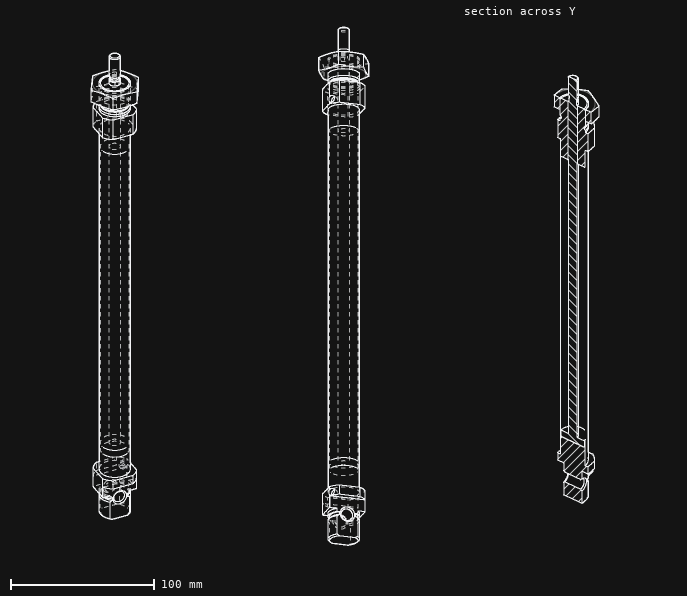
import cadquery as cq
import math

total_length = 382.0

tube_diameter = 21.8
bore_diameter = 20.2
bore_bottom_z = 52.5
bore_top_z = 306.0

cap_across_flats = 26.5
cap_diameter = 30.5
front_cap_bottom_z = 321.5
front_cap_top_z = 338.0
rear_cap_bottom_z = 20.2
rear_cap_top_z = 36.0

port_diameter = 5.0
port_depth = 4.0
port_angle = 127
front_port_z = 325.0
rear_port_z = 31.7

thread_diameter = 22.0
undercut_diameter = 20.0
thread_chamfer = 1.0
neck_top_z = 359.0
neck_undercut_top_z = 342.0
neck_undercut_bottom_z = 341.0
rear_undercut_top_z = 18.0
rear_undercut_bottom_z = 16.0
rear_chamfer = 1.0

tongue_thickness = 16.0
tongue_top_z = 29.0
pivot_diameter = 8.5
pivot_chamfer = 1.0
pivot_z = 16.8

rod_diameter = 8.0
rod_neck_diameter = 6.5
rod_neck_taper_top_z = 365.5
rod_neck_top_z = 363.5
rod_neck_bottom_z = 362.0
rod_chamfer = 0.8
wrench_across_flats = 7.3
piston_length = 5.7

nut_across_flats = 32.0
nut_height = 11.0
nut_chamfer_diameter = 31.5
nut_chamfer_angle = 15
nut_turn = 30

thread_radius = thread_diameter / 2
undercut_radius = undercut_diameter / 2
undercut_step = thread_radius - undercut_radius
rod_radius = rod_diameter / 2
rod_neck_radius = rod_neck_diameter / 2
nut_across_corners = nut_across_flats / math.cos(math.pi / 6)


def cylinder(diameter, bottom_z, top_z):
    """Upright cylinder on the part axis between two heights."""
    return cq.Workplane("XY", origin=(0, 0, bottom_z)).circle(diameter / 2).extrude(top_z - bottom_z)


def turned(profile):
    """Solid turned about the Z axis from (radius, height) points; the axis closes it."""
    return cq.Workplane("XZ").polyline(profile).close().revolve(360, (0, 0), (0, 1))


def cap(bottom_z, top_z):
    """Round end cap with four flats."""
    height = top_z - bottom_z
    square = (
        cq.Workplane("XY", origin=(0, 0, bottom_z))
        .rect(cap_across_flats, cap_across_flats)
        .extrude(height)
    )
    return cylinder(cap_diameter, bottom_z, top_z).intersect(square)


def front_neck():
    """Threaded neck with an undercut next to the front cap."""
    return turned([
        (0, front_cap_top_z),
        (thread_radius, front_cap_top_z),
        (thread_radius, neck_undercut_bottom_z - undercut_step),
        (undercut_radius, neck_undercut_bottom_z),
        (undercut_radius, neck_undercut_top_z),
        (thread_radius, neck_undercut_top_z + undercut_step),
        (thread_radius, neck_top_z - thread_chamfer),
        (thread_radius - thread_chamfer, neck_top_z),
        (0, neck_top_z),
    ])


def rear_stem():
    """Threaded stem below the rear cap, with an undercut and an end chamfer."""
    return turned([
        (0, 0),
        (thread_radius - rear_chamfer, 0),
        (thread_radius, rear_chamfer),
        (thread_radius, rear_undercut_bottom_z - undercut_step),
        (undercut_radius, rear_undercut_bottom_z),
        (undercut_radius, rear_undercut_top_z),
        (thread_radius, rear_undercut_top_z),
        (thread_radius, rear_cap_bottom_z),
        (0, rear_cap_bottom_z),
    ])


def tongue_cuts():
    """Two blocks that leave a flat tongue below tongue_top_z."""
    width = cap_diameter
    blocks = cq.Workplane("XY")
    for side in (-1, 1):
        x = side * (tongue_thickness + width) / 2
        blocks = blocks.add(
            cq.Workplane("XY").center(x, 0).rect(width, 2 * width).extrude(tongue_top_z)
        )
    return blocks.combine()


def pivot_hole():
    """Cross hole along X, chamfered on both tongue faces."""
    half = tongue_thickness / 2
    radius = pivot_diameter / 2
    return (
        cq.Workplane("XY")
        .polyline([
            (-half, 0),
            (-half, radius + pivot_chamfer),
            (-half + pivot_chamfer, radius),
            (half - pivot_chamfer, radius),
            (half, radius + pivot_chamfer),
            (half, 0),
        ])
        .close()
        .revolve(360, (0, 0), (1, 0))
        .translate((0, 0, pivot_z))
    )


def port(z):
    """Blind radial air port."""
    angle = math.radians(port_angle)
    direction = cq.Vector(math.cos(angle), math.sin(angle), 0)
    start = direction * (cap_diameter / 2 - port_depth)
    plane = cq.Plane(origin=(start.x, start.y, z), xDir=(0, 0, 1), normal=direction.toTuple())
    return cq.Workplane(plane).circle(port_diameter / 2).extrude(2 * port_depth)


def make_housing():
    """Tube with both end caps, hollow for the piston and open at the front for the rod."""
    body = cylinder(tube_diameter, rear_cap_top_z, front_cap_bottom_z)
    body = body.union(cap(front_cap_bottom_z, front_cap_top_z))
    body = body.union(front_neck())
    body = body.union(cap(rear_cap_bottom_z, rear_cap_top_z))
    body = body.union(rear_stem())
    body = body.cut(tongue_cuts())
    body = body.cut(pivot_hole())
    body = body.cut(port(front_port_z))
    body = body.cut(port(rear_port_z))
    body = body.cut(cylinder(bore_diameter, bore_bottom_z, bore_top_z))
    return body.cut(cylinder(rod_diameter, bore_top_z, neck_top_z))


def make_rod():
    """Rod with its piston, a neck below the end thread and two wrench flats under the neck."""
    rod = turned([
        (0, bore_bottom_z),
        (bore_diameter / 2, bore_bottom_z),
        (bore_diameter / 2, bore_bottom_z + piston_length),
        (rod_radius, bore_bottom_z + piston_length),
        (rod_radius, rod_neck_bottom_z),
        (rod_neck_radius, rod_neck_bottom_z),
        (rod_neck_radius, rod_neck_top_z),
        (rod_radius, rod_neck_taper_top_z),
        (rod_radius, total_length - rod_chamfer),
        (rod_radius - rod_chamfer, total_length),
        (0, total_length),
    ])
    for side in (-1, 1):
        x = side * (wrench_across_flats + rod_diameter) / 2
        flat = (
            cq.Workplane("XY", origin=(x, 0, neck_top_z))
            .rect(rod_diameter, 2 * rod_diameter)
            .extrude(rod_neck_bottom_z - neck_top_z)
        )
        rod = rod.cut(flat)
    return rod


def make_nut():
    """Hexagon nut flush with the end of the front thread, corners chamfered on both sides."""
    bottom_z = neck_top_z - nut_height
    nut = (
        cq.Workplane("XY", origin=(0, 0, bottom_z))
        .polygon(6, nut_across_corners)
        .extrude(nut_height)
        .rotate((0, 0, 0), (0, 0, 1), nut_turn)
    )
    chamfer_radius = nut_chamfer_diameter / 2
    corner_radius = nut_across_corners / 2
    drop = (corner_radius - chamfer_radius) * math.tan(math.radians(nut_chamfer_angle))
    envelope = turned([
        (0, bottom_z),
        (chamfer_radius, bottom_z),
        (corner_radius, bottom_z + drop),
        (corner_radius, neck_top_z - drop),
        (chamfer_radius, neck_top_z),
        (0, neck_top_z),
    ])
    return nut.intersect(envelope).cut(cylinder(thread_diameter, bottom_z, neck_top_z))


housing = make_housing()
rod = make_rod()
nut = make_nut()
result = cq.Compound.makeCompound([housing.solids().val(), rod.solids().val(), nut.solids().val()])